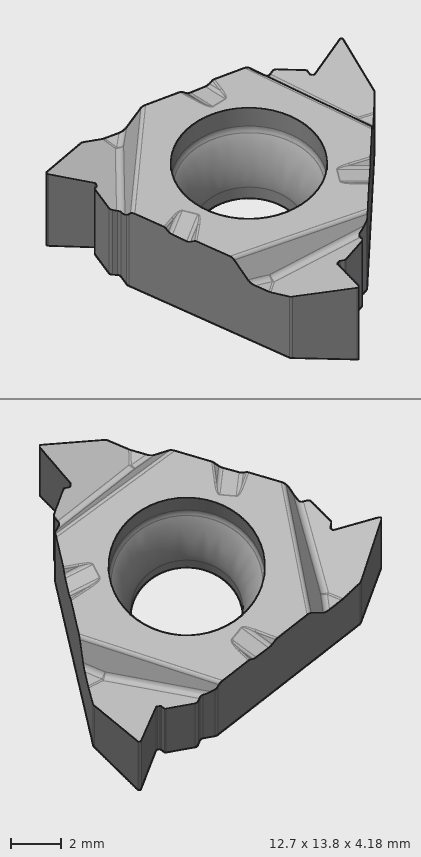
import cadquery as cq
import math

CORNER_COUNT = 3
CORNER_TURN = 360.0 / CORNER_COUNT
THICKNESS = 4.18
SIDE_DISTANCE = 4.76

TOOTH_HALF_ANGLE = 30.4
TOOTH_APEX_X = -3.37
TOOTH_APEX_Y = -7.3
NOSE_RADIUS = 0.08
TOOTH_HEEL_RADIUS = 0.23

NOTCH_Y = -5.59
NOTCH_WIDTH = 0.17
NOTCH_RADIUS = 0.07
CREST_Y = -5.79
CREST_START_X = -2.06
CREST_END_X = -0.76
CREST_RADIUS = 0.17
STEP_Y = -5.45
STEP_START_X = -0.55
STEP_END_RADIUS = 0.25

HOLE_RADIUS = 4.4 / 2
COUNTERBORE_RADIUS = 3.08
COUNTERBORE_DEPTH = 1.01
COUNTERBORE_FILLET = 0.44
SEAT_RIM_DEPTH = 1.28
SEAT_RIM_RADIUS = 2.98
SEAT_END_DEPTH = 3.54

RAKE_ANGLE = 14.5
RAKE_NOSE_HEIGHT = 4.02
WALL_SLOPE = 55.0
WALL_TURN = -31.8
WALL_START_Y = -2.1
WALL_EDGE_RADIUS = 0.22
GROOVE_RADIUS = 0.32
HEEL_HEIGHT = 3.18
HEEL_SLOPE = 5.5

MARK_END_X = -3.54
MARK_END_Y = 0.52
MARK_TURN = 13.0
MARK_SLOPE = 10.5
MARK_FLOOR_WIDTH = 0.84
MARK_SIDE_SLOPE = 40.0
MARK_RADIUS = 0.28
MARK_EDGE_RADIUS = 0.14
MARK_HEIGHT = 0.69
MARK_LENGTH = 2.76

REACH = 27.62
EDGE_CLEARANCE = 0.01


def sin(degrees):
    return math.sin(math.radians(degrees))


def cos(degrees):
    return math.cos(math.radians(degrees))


def tan(degrees):
    return math.tan(math.radians(degrees))


def turned(point, angle):
    """The point turned about the hole axis."""
    x, y = point
    return (x * cos(angle) - y * sin(angle), x * sin(angle) + y * cos(angle))


MARK_OUTWARD = (-cos(MARK_TURN) * cos(MARK_SLOPE), -sin(MARK_TURN) * cos(MARK_SLOPE), -sin(MARK_SLOPE))
MARK_ACROSS = (sin(MARK_TURN), -cos(MARK_TURN), 0)


def half_space(origin, normal):
    """A large block on the side of a plane that the normal points to."""
    plane = cq.Plane(origin=origin, normal=normal)
    return cq.Workplane(plane).box(REACH, REACH, REACH, centered=(True, True, False))


def corner_points():
    """Outline vertices of one corner, each with the radius that rounds it."""
    heel_y = TOOTH_APEX_Y + (TOOTH_APEX_X + SIDE_DISTANCE) / tan(TOOTH_HALF_ANGLE)
    notch_x = TOOTH_APEX_X + (NOTCH_Y - TOOTH_APEX_Y) * tan(TOOTH_HALF_ANGLE)
    next_side = 180 + CORNER_TURN
    step_end_x = (SIDE_DISTANCE - STEP_Y * sin(next_side)) / cos(next_side)
    return [
        ((-SIDE_DISTANCE, heel_y), TOOTH_HEEL_RADIUS),
        ((TOOTH_APEX_X, TOOTH_APEX_Y), NOSE_RADIUS),
        ((notch_x, NOTCH_Y), NOTCH_RADIUS),
        ((notch_x + NOTCH_WIDTH, NOTCH_Y), NOTCH_RADIUS),
        ((CREST_START_X, CREST_Y), NOTCH_RADIUS),
        ((CREST_END_X, CREST_Y), CREST_RADIUS),
        ((STEP_START_X, STEP_Y), CREST_RADIUS),
        ((step_end_x, STEP_Y), STEP_END_RADIUS),
    ]


def make_blank():
    """Solid prism of the whole outline, with its upright edges rounded."""
    corner = corner_points()
    vertices = [(turned(p, i * CORNER_TURN), r) for i in range(CORNER_COUNT) for p, r in corner]
    body = cq.Workplane("XY").polyline([p for p, _ in vertices]).close().extrude(THICKNESS)
    for (x, y), radius in vertices:
        nearest = cq.selectors.NearestToPointSelector((x, y, THICKNESS / 2))
        body = body.edges("|Z").edges(nearest).fillet(radius)
    return body


def make_hole():
    """Straight bore, flared seat and counterbore as one turned body."""
    rim_z = THICKNESS - SEAT_RIM_DEPTH
    seat_end_z = THICKNESS - SEAT_END_DEPTH
    flare = SEAT_RIM_RADIUS - HOLE_RADIUS
    rise = rim_z - seat_end_z
    seat_radius = (flare**2 + rise**2) / (2 * flare)
    half_turn = math.degrees(math.asin(rise / seat_radius)) / 2
    seat_middle = (
        HOLE_RADIUS + seat_radius * (1 - cos(half_turn)),
        seat_end_z + seat_radius * sin(half_turn),
    )
    counterbore_middle = (
        COUNTERBORE_RADIUS - COUNTERBORE_FILLET * (1 - cos(half_turn)),
        THICKNESS - COUNTERBORE_DEPTH - COUNTERBORE_FILLET * sin(half_turn),
    )
    profile = (
        cq.Workplane("XZ")
        .lineTo(HOLE_RADIUS, 0)
        .lineTo(HOLE_RADIUS, seat_end_z)
        .threePointArc(seat_middle, (SEAT_RIM_RADIUS, rim_z))
        .threePointArc(counterbore_middle, (COUNTERBORE_RADIUS, THICKNESS - COUNTERBORE_DEPTH))
        .lineTo(COUNTERBORE_RADIUS, THICKNESS)
        .lineTo(0, THICKNESS)
        .close()
    )
    return profile.revolve(360, (0, 0, 0), (0, 1, 0))


def make_groove():
    """Everything above the rake face, in front of the wall and above the heel floor."""
    out_x, out_y = sin(WALL_TURN), -cos(WALL_TURN)
    wall_normal = (out_x * sin(WALL_SLOPE), out_y * sin(WALL_SLOPE), cos(WALL_SLOPE))
    nose_y = TOOTH_APEX_Y + NOSE_RADIUS
    rake = half_space((TOOTH_APEX_X, nose_y, RAKE_NOSE_HEIGHT), (0, sin(RAKE_ANGLE), cos(RAKE_ANGLE)))
    setback = WALL_EDGE_RADIUS * tan(WALL_SLOPE / 2)
    wall_origin = (-SIDE_DISTANCE + setback * out_x, WALL_START_Y + setback * out_y, THICKNESS)
    wall = half_space(wall_origin, wall_normal)
    heel = half_space((-SIDE_DISTANCE, WALL_START_Y, HEEL_HEIGHT), (sin(HEEL_SLOPE), 0, cos(HEEL_SLOPE)))
    groove = rake.intersect(wall).intersect(heel)
    return groove.vertices("<Z").ancestors("Edge").fillet(GROOVE_RADIUS)


def make_mark():
    """A channel that slopes down from the top face towards the long side."""
    plane = cq.Plane(origin=(MARK_END_X, MARK_END_Y, THICKNESS), xDir=MARK_ACROSS, normal=MARK_OUTWARD)
    half_floor = MARK_FLOOR_WIDTH / 2
    half_top = half_floor + MARK_HEIGHT / tan(MARK_SIDE_SLOPE)
    profile = [(-half_floor, 0), (half_floor, 0), (half_top, MARK_HEIGHT), (-half_top, MARK_HEIGHT)]
    channel = cq.Workplane(plane).polyline(profile).close().extrude(MARK_LENGTH)
    along = cq.selectors.ParallelDirSelector(cq.Vector(MARK_OUTWARD))
    return channel.edges(along).edges("<Z").fillet(MARK_RADIUS)


def cut_groove(body, groove):
    """Cut the chip groove and round the upper edge of its wall."""
    wall_top = cq.selectors.ParallelDirSelector(cq.Vector(cos(WALL_TURN), sin(WALL_TURN), 0))
    return body.cut(groove).faces(">Z").edges(wall_top).fillet(WALL_EDGE_RADIUS)


def cut_mark(body, mark):
    """Cut the chip mark and round the top edges along both of its flanks."""
    inside_side = -SIDE_DISTANCE + EDGE_CLEARANCE
    mark_area = cq.selectors.BoxSelector(
        (inside_side, MARK_END_Y - MARK_LENGTH / 2, THICKNESS - EDGE_CLEARANCE),
        (MARK_END_X + MARK_RADIUS, MARK_END_Y + MARK_LENGTH / 2, THICKNESS + EDGE_CLEARANCE),
    )
    end_line = cq.selectors.ParallelDirSelector(cq.Vector(MARK_ACROSS))
    return body.cut(mark).faces(">Z").edges(mark_area - end_line).fillet(MARK_EDGE_RADIUS)


groove_cutter = make_groove()
mark_cutter = make_mark()
result = make_blank()
for _ in range(CORNER_COUNT):
    result = cut_groove(result, groove_cutter)
    result = cut_mark(result, mark_cutter)
    result = result.rotate((0, 0, 0), (0, 0, 1), CORNER_TURN)
result = result.cut(make_hole())